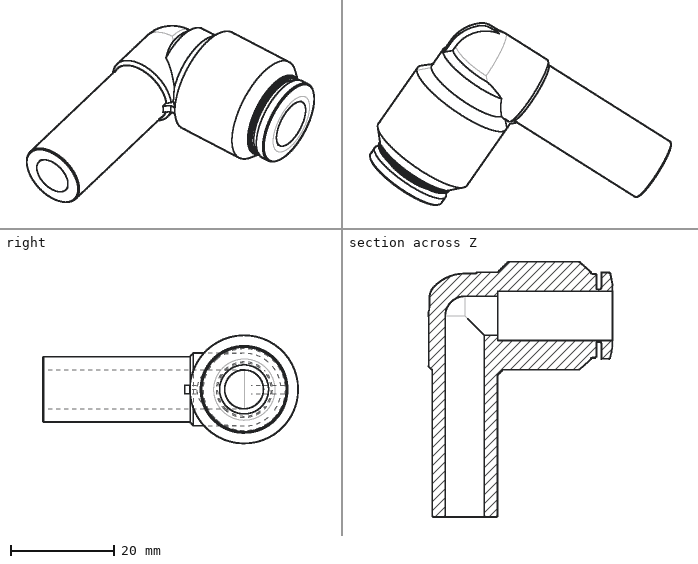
import cadquery as cq
import math


elbow_radius = 7.1
elbow_end = 9.8
elbow_chamfer = 0.65
stem_radius = 12.7 / 2
stem_end = 39.0
stem_chamfer = 0.2
bore_radius = 7.5 / 2

neck_radius = 8.45
body_radius = 21.0 / 2
neck_start = 2.4
neck_end = 6.4
body_start = neck_end + body_radius - neck_radius
body_end = 22.2
mouth_start = 24.45

collar_radius = 16.4 / 2
collar_end = 25.55
collar_chamfer = 0.25
groove_start = 24.8
groove_width = 0.25
groove_depth = 0.1
button_neck_radius = 10.35 / 2
button_flare = 0.25
flange_radius = 16.8 / 2
flange_start = 26.5
flange_end = 28.2
flange_chamfer = 0.2
button_face_radius = 5.95
button_end = 28.65
tube_radius = 9.5 / 2
tube_stop = neck_end

rib_thickness = 1.7
rib_left = -6.9
rib_radius = 8.2
rib_round = 3.15
web_flat_start = 7.4
web_embed = 0.25


def revolve_on_x(profile):
    """Revolve (distance along X, radius) points about the X axis."""
    outline = [(profile[0][0], 0), *profile, (profile[-1][0], 0)]
    return cq.Workplane("XY").polyline(outline).close().revolve(360, (0, 0, 0), (1, 0, 0))


def revolve_on_y(profile):
    """Revolve (radius, distance towards -Y) points about the Y axis."""
    points = [(radius, -distance) for radius, distance in profile]
    outline = [(0, points[0][1]), *points, (0, points[-1][1])]
    return cq.Workplane("XY").polyline(outline).close().revolve(360, (0, 0, 0), (0, 1, 0))


def centered_plate(outline):
    """Thicken a closed XY outline evenly to both sides of Z = 0."""
    return outline.extrude(rib_thickness / 2, both=True)


def make_stem():
    return revolve_on_y([
        (elbow_radius, 0),
        (elbow_radius, elbow_end),
        (elbow_radius - elbow_chamfer, elbow_end + elbow_chamfer),
        (stem_radius, elbow_end + elbow_chamfer),
        (stem_radius, stem_end - stem_chamfer),
        (stem_radius - stem_chamfer, stem_end),
    ])


def make_socket():
    groove_end = groove_start + groove_width
    groove_radius = collar_radius - groove_depth
    body_and_collar = [
        (0, elbow_radius),
        (neck_start - neck_radius + elbow_radius, elbow_radius),
        (neck_start, neck_radius),
        (neck_end, neck_radius),
        (body_start, body_radius),
        (body_end, body_radius),
        (mouth_start, neck_radius),
        (mouth_start, collar_radius),
        (groove_start, collar_radius),
        (groove_start, groove_radius),
        (groove_end, groove_radius),
        (groove_end, collar_radius),
        (collar_end - collar_chamfer, collar_radius),
        (collar_end, collar_radius - collar_chamfer),
    ]
    button = [
        (collar_end, button_neck_radius),
        (flange_start - button_flare, button_neck_radius),
        (flange_start, button_neck_radius + button_flare),
        (flange_start, flange_radius),
        (flange_end - flange_chamfer, flange_radius),
        (flange_end, flange_radius - flange_chamfer),
        (button_end, button_face_radius),
    ]
    return revolve_on_x(body_and_collar + button)


def make_outer_rib():
    corner_y = math.sqrt(rib_radius**2 - rib_left**2)
    arc_middle = rib_radius * math.sqrt(0.5)
    plate = centered_plate(
        cq.Workplane("XY")
        .moveTo(rib_left, 0)
        .lineTo(neck_start, 0)
        .lineTo(neck_start, rib_radius)
        .lineTo(0, rib_radius)
        .threePointArc((-arc_middle, arc_middle), (rib_left, corner_y))
        .close()
    )
    return plate.edges("|Z").edges("<X").edges(">Y").fillet(rib_round)


def make_inner_web():
    slope_drop = web_flat_start - stem_radius
    return centered_plate(
        cq.Workplane("XY")
        .moveTo(stem_radius - web_embed, -elbow_end)
        .lineTo(stem_radius - web_embed, -body_radius - slope_drop)
        .lineTo(stem_radius, -body_radius - slope_drop)
        .lineTo(web_flat_start, -body_radius)
        .lineTo(body_start, -body_radius)
        .lineTo(neck_end, -neck_radius)
        .close()
    )


def make_passage():
    stem_bore = revolve_on_y([(bore_radius, 0), (bore_radius, stem_end)])
    cross_bore = revolve_on_x([
        (0, bore_radius),
        (tube_stop, bore_radius),
        (tube_stop, tube_radius),
        (button_end, tube_radius),
    ])
    return stem_bore.union(cross_bore).union(cq.Workplane("XY").sphere(bore_radius))


result = (
    make_stem()
    .union(make_socket())
    .union(cq.Workplane("XY").sphere(elbow_radius))
    .union(make_outer_rib())
    .union(make_inner_web())
    .cut(make_passage())
)